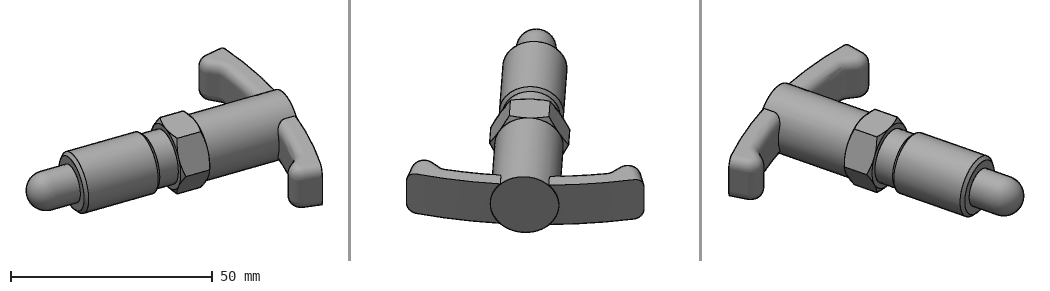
import cadquery as cq
import math


BARREL_DIAMETER = 17.0
BARREL_LENGTH = 25.0
HANDLE_SPAN = 59.0
HANDLE_WIDTH = 12.05
HANDLE_DROP = 4.1
ARM_THICKNESS = 5.5
HOOK_RADIUS = 3.25
HOOK_CENTER_X = 25.25
HOOK_CENTER_Y = -7.95
FLANK_ANGLE = 47.0
HOOK_ROOT_RADIUS = 2.0
GRIP_FILLET = 2.6

HEX_ACROSS_FLATS = BARREL_DIAMETER
HEX_LENGTH = 8.0
HEX_CHAMFER_ANGLE = 30.0
THREAD_DIAMETER = 16.0
THREAD_START = 38.1
THREAD_END = 59.0
THREAD_CHAMFER = 0.85
NECK_DIAMETER = THREAD_DIAMETER - 2 * THREAD_CHAMFER
PIN_DIAMETER = 10.0
TOTAL_LENGTH = 70.95

HEX_END = BARREL_LENGTH + HEX_LENGTH
HALF_SPAN = HANDLE_SPAN / 2
CROWN_RADIUS = (HALF_SPAN**2 + HANDLE_DROP**2) / (2 * HANDLE_DROP)
UNDERSIDE_RADIUS = CROWN_RADIUS - ARM_THICKNESS


def cylinder(diameter, start, end):
    """Cylinder on the Y axis between two distances from the grip end."""
    plane = cq.Workplane("XZ", origin=(0, -start, 0))
    return plane.circle(diameter / 2).extrude(end - start)


def hook_point(angle):
    """Point on the rounded end of the right-hand hook."""
    return (
        HOOK_CENTER_X + HOOK_RADIUS * math.cos(angle),
        HOOK_CENTER_Y + HOOK_RADIUS * math.sin(angle),
    )


def mirrored(point):
    return (-point[0], point[1])


def hook_root(flank_start, flank_angle):
    """Where the hook's inner flank meets the concentric underside arc."""
    direction_x = -math.cos(flank_angle)
    direction_y = math.sin(flank_angle)
    from_center_x = flank_start[0]
    from_center_y = flank_start[1] + CROWN_RADIUS
    along = from_center_x * direction_x + from_center_y * direction_y
    distance_squared = from_center_x**2 + from_center_y**2
    length = -along + math.sqrt(along**2 - distance_squared + UNDERSIDE_RADIUS**2)
    return (flank_start[0] + length * direction_x, flank_start[1] + length * direction_y)


def make_grip():
    """Bowed cross bar with a rounded hook at each end."""
    tip = (HALF_SPAN, -HANDLE_DROP)
    flank_angle = math.radians(FLANK_ANGLE)

    tip_dx = tip[0] - HOOK_CENTER_X
    tip_dy = tip[1] - HOOK_CENTER_Y
    tip_direction = math.atan2(tip_dy, tip_dx)
    tangent_spread = math.acos(HOOK_RADIUS / math.hypot(tip_dx, tip_dy))
    outer_angle = tip_direction - tangent_spread
    inner_angle = -math.pi / 2 - flank_angle

    outer = hook_point(outer_angle)
    bottom = hook_point((outer_angle + inner_angle) / 2)
    inner = hook_point(inner_angle)
    root = hook_root(inner, flank_angle)

    bar = (
        cq.Workplane("XY")
        .workplane(offset=-HANDLE_WIDTH / 2)
        .moveTo(*mirrored(tip))
        .threePointArc((0, 0), tip)
        .lineTo(*outer)
        .threePointArc(bottom, inner)
        .lineTo(*root)
        .threePointArc((0, -ARM_THICKNESS), mirrored(root))
        .lineTo(*mirrored(inner))
        .threePointArc(mirrored(bottom), mirrored(outer))
        .close()
        .extrude(HANDLE_WIDTH)
    )
    for root_corner in (root, mirrored(root)):
        bar = bar.edges(cq.selectors.NearestToPointSelector((*root_corner, 0))).fillet(HOOK_ROOT_RADIUS)

    side_edges = bar.faces("|Z").edges().vals()
    lower_edges = [edge for edge in side_edges if edge.Center().y < -HANDLE_DROP]
    return bar.newObject(lower_edges).fillet(GRIP_FILLET)


def make_handle():
    return cylinder(BARREL_DIAMETER, 0, BARREL_LENGTH).union(make_grip())


def make_hex():
    """Hexagon with corners on the X axis, both ends turned to a cone."""
    corner_radius = HEX_ACROSS_FLATS / 2 / math.cos(math.pi / 6)
    flat_radius = HEX_ACROSS_FLATS / 2
    cone_depth = (corner_radius - flat_radius) * math.tan(math.radians(HEX_CHAMFER_ANGLE))
    prism = (
        cq.Workplane("XZ", origin=(0, -BARREL_LENGTH, 0))
        .polygon(6, 2 * corner_radius)
        .extrude(HEX_LENGTH)
    )
    turned_blank = (
        cylinder(2 * corner_radius, BARREL_LENGTH, HEX_END)
        .faces("|Y")
        .edges()
        .chamfer(cone_depth, corner_radius - flat_radius)
    )
    return prism.intersect(turned_blank)


def make_plunger():
    """Hexagon, neck, chamfered thread cylinder and round-nosed pin."""
    neck = cylinder(NECK_DIAMETER, HEX_END, THREAD_START)
    thread = cylinder(THREAD_DIAMETER, THREAD_START, THREAD_END).faces("|Y").edges().chamfer(THREAD_CHAMFER)
    nose_start = TOTAL_LENGTH - PIN_DIAMETER / 2
    pin = cylinder(PIN_DIAMETER, THREAD_END, nose_start)
    nose = cq.Workplane("XY", origin=(0, -nose_start, 0)).sphere(PIN_DIAMETER / 2)
    return make_hex().union(neck).union(thread).union(pin).union(nose)


handle = make_handle()
plunger = make_plunger()

result = cq.Compound.makeCompound([handle.val(), plunger.val()])